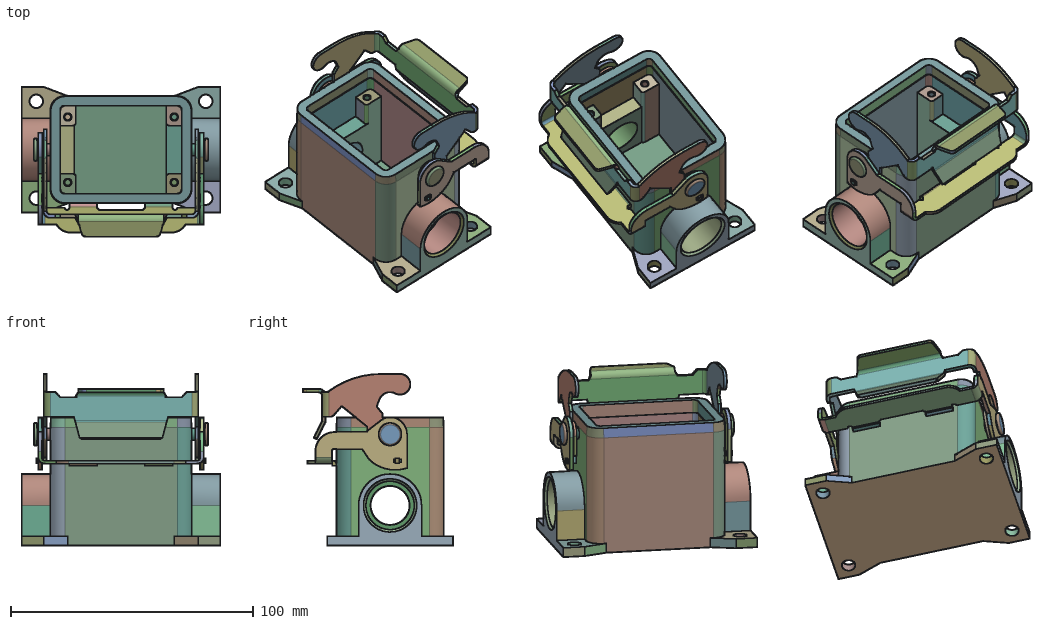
import cadquery as cq
import math

BASE_LENGTH = 82.0
BASE_WIDTH = 52.0
BASE_HEIGHT = 4.0
BASE_EAR_INNER_X = 32.0
BASE_EAR_ROOT_X = 22.0
MOUNT_HOLE_X = 35.0
MOUNT_HOLE_Y = 20.0
MOUNT_HOLE_DIAMETER = 5.5

BODY_LENGTH = 58.4
BODY_WIDTH = 44.4
BODY_TOP = 53.0
BODY_CORNER_RADIUS = 6.0
RIM_HEIGHT = 4.0
RIM_INSET = 0.2

CAVITY_LENGTH = 50.0
CAVITY_WIDTH = 36.2
CAVITY_FLOOR = 4.0
CAVITY_NECK_BOTTOM = 47.6
CAVITY_RELIEF = 0.2
CAVITY_CORNER_RADIUS = 1.8

LEFT_SHELF_INNER_X = -19.25
RIGHT_SHELF_INNER_X = 18.6
SHELF_TOP = 30.0
POST_INNER_X = 18.6
POST_INNER_Y = 10.0
POST_TOP = 41.0
POST_CORNER_RADIUS = 1.2
SCREW_X = 22.0
SCREW_Y = 13.5
SCREW_DIAMETER = 2.6
SCREW_MOUTH_DIAMETER = 3.2
SCREW_DEPTH = 10.0

ENTRY_AXIS_Z = 16.65
ENTRY_BOSS_RADIUS = 13.0
ENTRY_BORE_RADIUS = 10.0
ENTRY_CHAMFER = 1.0
ENTRY_HOLE_RADIUS = 8.0
ENTRY_SHOULDER_DEPTH = 1.0
ENTRY_SHOULDER_X = BODY_LENGTH / 2 - ENTRY_SHOULDER_DEPTH

PIN_Z = 46.05
PIN_RADIUS = 2.5
PIN_HEAD_RADIUS = 4.7
PIN_HEAD_OUTER_X = 36.0
PIN_HEAD_THICKNESS = 1.4

BRACKET_OUTER_X = 34.2
BRACKET_SIDE_THICKNESS = 1.6
BRACKET_EYE_RADIUS = 7.0
BRACKET_NECK_ANGLE = 65.0
BRACKET_TAIL_BOTTOM = 32.1
BRACKET_TAIL_FRONT_Y = -11.55
BRACKET_TAIL_KNEE = (-8.7, 35.7)
BRACKET_TAIL_BELLY = (-0.9, 31.6)
BRACKET_ARM_TOP = 47.0
BRACKET_ARM_BOTTOM = 39.95
BRACKET_ARM_START_Y = -10.0
BRACKET_ELBOW_RADIUS = 8.0
BRACKET_ELBOW_INNER_CHAMFER = 0.5
BRACKET_LEG_FRONT = -30.9
BRACKET_LEG_BACK = -23.9
BRACKET_FLANGE_BOTTOM = 33.85
BRACKET_FLANGE_THICKNESS = 1.3
BRACKET_FLANGE_FRONT = -34.2
BRACKET_BEND_INNER = 1.2
BRACKET_BEND_OUTER = BRACKET_BEND_INNER + BRACKET_SIDE_THICKNESS
BRACKET_LIP_ROOT_X = 26.65
BRACKET_LIP_SHOULDER = (24.3, -33.3)
BRACKET_LIP_TIP_X = 21.7
TAB_INNER_X = 9.85
TAB_OUTER_X = 21.35
TAB_BOTTOM = 33.0
RELIEF_X = 22.3
RELIEF_RADIUS = 0.95
RELIEF_FRONT = -24.85
WINDOW_CHAMFER = 0.9

STOP_Y = 3.0
STOP_Z = 35.1
STOP_LENGTH = 3.1
STOP_HEIGHT = 1.4
STOP_PROTRUSION = 0.5

LEVER_OUTER_X = 32.0
LEVER_SIDE_THICKNESS = 1.3
LEVER_TOP = 71.0
LEVER_HOOK_RADIUS = 4.3
LEVER_HOOK_Y = 4.1
LEVER_THROAT_RADIUS = 5.5
LEVER_CREST_Y = -3.6
LEVER_BRIDGE_FRONT = -28.15
LEVER_BRIDGE_THICKNESS = 1.5
LEVER_BRIDGE_TOP = 63.55
LEVER_BRIDGE_BOTTOM = 53.27
LEVER_BEND_OUTER = 2.75
LEVER_BEND_INNER = LEVER_BEND_OUTER - LEVER_SIDE_THICKNESS
LEVER_EYE_RADIUS = 5.0
LEVER_FOOT_RADIUS = 9.7
LEVER_FOOT_FRONT = -9.5
LEVER_NECK_Y = -3.05
LEVER_NECK_TOP = 54.5
LEVER_THROAT_LIP = (-5.5, 57.5)
LEVER_THROAT_FRONT = (-4.3, 60.6)
LEVER_THROAT_CROWN = (-1.9, 63.0)
LEVER_BACK_END_Y = -25.45
LEVER_BACK_STEP = 0.2
LEVER_NOTCH_HEEL = [(-24.2, LEVER_BRIDGE_BOTTOM), (-23.3, 53.8)]
LEVER_NOTCH_PEAK = [(-20.1, 57.5), (-19.8, 57.5)]
LEVER_FOOT_TOP = 49.2

TONGUE_LENGTH = 1.75
TONGUE_HEIGHT = 1.9
TONGUE_OUTER_X = 35.1
BRIDGE_NOTCH_FLOOR = 61.4
BRIDGE_NOTCH_TOP_X = 27.1
BRIDGE_NOTCH_FLOOR_X = 25.1

GRIP_FRONT = -35.98
GRIP_TOP = 64.8
GRIP_BEND_INNER = 1.3
GRIP_ROOT_X = 18.95
GRIP_BEND_X = 17.75
GRIP_TIP_X = 15.9
GRIP_CORNER_RADIUS = 2.0

APRON_BEND_Z = 51.45
APRON_BEND_BACK_DROP = 0.35
APRON_BEND_INNER = 1.5
APRON_TIP_FRONT = (-31.55, 44.6)
APRON_TIP_BACK = (-30.25, 43.95)
APRON_ROOT_X = 19.45
APRON_BEND_X = 18.95
APRON_TIP_X = 17.1
APRON_TIP_CORNER_X = 16.0


def mirrored_x(half):
    """Return the shape together with its mirror image in the YZ plane."""
    return half.union(half.mirror("YZ"))


def symmetric_points(half):
    """Complete an outline that is symmetric about X = 0 from the points of its +X half."""
    return half + [(-x, other) for x, other in reversed(half)]


def box_between(x0, x1, y0, y1, z0, z1):
    return cq.Workplane("XY").box(x1 - x0, y1 - y0, z1 - z0, centered=False).translate((x0, y0, z0))


def cylinder_x(radius, x0, x1, z):
    """Cylinder along X, centred on Y = 0."""
    return cq.Workplane("YZ", origin=(x0, 0, 0)).center(0, z).circle(radius).extrude(x1 - x0)


def rounded_block(length, width, radius, z0, z1):
    block = cq.Workplane("XY").workplane(offset=z0).rect(length, width).extrude(z1 - z0)
    return block.edges("|Z").fillet(radius)


def make_base():
    half_length = BASE_LENGTH / 2
    half_width = BASE_WIDTH / 2
    quarter = [
        (half_length, half_width),
        (BASE_EAR_INNER_X, half_width),
        (BASE_EAR_ROOT_X, BODY_WIDTH / 2),
    ]
    back = symmetric_points(quarter)
    front = [(x, -y) for x, y in reversed(back)]
    base = cq.Workplane("XY").polyline(back + front).close().extrude(BASE_HEIGHT)
    return (
        base.faces(">Z")
        .workplane(origin=(0, 0, 0))
        .rect(2 * MOUNT_HOLE_X, 2 * MOUNT_HOLE_Y, forConstruction=True)
        .vertices()
        .hole(MOUNT_HOLE_DIAMETER)
    )


def make_body():
    rim_base = BODY_TOP - RIM_HEIGHT
    body = rounded_block(BODY_LENGTH, BODY_WIDTH, BODY_CORNER_RADIUS, 0, rim_base)
    draft = math.degrees(math.atan2(RIM_INSET, RIM_HEIGHT))
    rim = body.faces(">Z").wires().toPending().workplane().extrude(RIM_HEIGHT, taper=draft, combine=False)
    return body.union(rim)


def make_entry_boss():
    end = BASE_LENGTH / 2
    boss = cylinder_x(ENTRY_BOSS_RADIUS, -end, end, ENTRY_AXIS_Z)
    legs = box_between(-end, end, -ENTRY_BOSS_RADIUS, ENTRY_BOSS_RADIUS, 0, ENTRY_AXIS_Z)
    return boss.union(legs)


def make_cavity():
    """Hollow of the housing, leaving the end shelves and the corner posts standing."""
    length = CAVITY_LENGTH + 2 * CAVITY_RELIEF
    width = CAVITY_WIDTH + 2 * CAVITY_RELIEF
    corner_radius = CAVITY_CORNER_RADIUS + CAVITY_RELIEF
    neck = rounded_block(CAVITY_LENGTH, CAVITY_WIDTH, CAVITY_CORNER_RADIUS, CAVITY_NECK_BOTTOM, BODY_TOP)
    cavity = rounded_block(length, width, corner_radius, CAVITY_FLOOR, CAVITY_NECK_BOTTOM).union(neck)
    wall_x = length / 2
    wall_y = width / 2
    left_shelf = box_between(-wall_x, LEFT_SHELF_INNER_X, -wall_y, wall_y, CAVITY_FLOOR, SHELF_TOP)
    right_shelf = box_between(RIGHT_SHELF_INNER_X, wall_x, -wall_y, wall_y, CAVITY_FLOOR, SHELF_TOP)
    post = box_between(POST_INNER_X, wall_x, POST_INNER_Y, wall_y, CAVITY_FLOOR, POST_TOP)
    post = post.edges("|Z and <X and <Y").fillet(POST_CORNER_RADIUS)
    posts = mirrored_x(post.union(post.mirror("XZ")))
    return cavity.cut(left_shelf).cut(right_shelf).cut(posts)


def make_entry_bores():
    end = BASE_LENGTH / 2
    bore = cylinder_x(ENTRY_BORE_RADIUS, ENTRY_SHOULDER_X, end, ENTRY_AXIS_Z)
    mouth = (
        cq.Workplane("YZ", origin=(end, 0, ENTRY_AXIS_Z))
        .circle(ENTRY_BORE_RADIUS + ENTRY_CHAMFER)
        .workplane(offset=-ENTRY_CHAMFER)
        .circle(ENTRY_BORE_RADIUS)
        .loft()
    )
    hole = cylinder_x(ENTRY_HOLE_RADIUS, -end, end, ENTRY_AXIS_Z)
    return mirrored_x(bore.union(mouth)).union(hole)


def make_screw_holes():
    chamfer = (SCREW_MOUTH_DIAMETER - SCREW_DIAMETER) / 2
    radius = SCREW_DIAMETER / 2
    hole = (
        cq.Workplane("XZ")
        .moveTo(0, 0)
        .lineTo(radius + chamfer, 0)
        .lineTo(radius, -chamfer)
        .lineTo(radius, -SCREW_DEPTH)
        .lineTo(0, -SCREW_DEPTH)
        .close()
        .revolve(360, (0, 0, 0), (0, 1, 0))
        .translate((SCREW_X, SCREW_Y, POST_TOP))
    )
    return mirrored_x(hole.union(hole.mirror("XZ")))


def make_housing():
    solid = make_base().union(make_body()).union(make_entry_boss())
    return solid.cut(make_cavity()).cut(make_entry_bores()).cut(make_screw_holes())


def make_pins():
    """Hinge pins with flat disc heads whose rims are fully rounded."""
    head_inner_x = PIN_HEAD_OUTER_X - PIN_HEAD_THICKNESS
    wall_x = (BODY_LENGTH + CAVITY_LENGTH) / 4
    shaft = cylinder_x(PIN_RADIUS, wall_x, PIN_HEAD_OUTER_X, PIN_Z)
    edge_radius = PIN_HEAD_THICKNESS / 2
    flat_radius = PIN_HEAD_RADIUS - edge_radius
    head = (
        cq.Workplane("XY", origin=(head_inner_x, 0, PIN_Z))
        .lineTo(0, flat_radius)
        .threePointArc((edge_radius, PIN_HEAD_RADIUS), (PIN_HEAD_THICKNESS, flat_radius))
        .lineTo(PIN_HEAD_THICKNESS, 0)
        .close()
        .revolve(360, (0, 0, 0), (1, 0, 0))
    )
    return mirrored_x(shaft.union(head))


def make_bracket_side():
    """Side plate with the pin eye, the forward arm and the leg down to the bend."""
    radius = BRACKET_EYE_RADIUS
    neck = math.radians(BRACKET_NECK_ANGLE)
    eye_end = (-radius * math.cos(neck), PIN_Z + radius * math.sin(neck))
    elbow_y = BRACKET_LEG_FRONT + BRACKET_ELBOW_RADIUS
    elbow_z = BRACKET_ARM_TOP - BRACKET_ELBOW_RADIUS
    elbow_diagonal = BRACKET_ELBOW_RADIUS * math.sqrt(0.5)
    leg_bottom = BRACKET_FLANGE_BOTTOM + BRACKET_BEND_OUTER
    plate = (
        cq.Workplane("YZ", origin=(BRACKET_OUTER_X - BRACKET_SIDE_THICKNESS, 0, 0))
        .moveTo(radius, BRACKET_TAIL_BOTTOM)
        .lineTo(radius, PIN_Z)
        .threePointArc((0, PIN_Z + radius), eye_end)
        .lineTo(BRACKET_ARM_START_Y, BRACKET_ARM_TOP)
        .lineTo(elbow_y, BRACKET_ARM_TOP)
        .threePointArc((elbow_y - elbow_diagonal, elbow_z + elbow_diagonal), (BRACKET_LEG_FRONT, elbow_z))
        .lineTo(BRACKET_LEG_FRONT, leg_bottom)
        .lineTo(BRACKET_LEG_BACK, leg_bottom)
        .lineTo(BRACKET_LEG_BACK, BRACKET_ARM_BOTTOM - BRACKET_ELBOW_INNER_CHAMFER)
        .lineTo(BRACKET_LEG_BACK + BRACKET_ELBOW_INNER_CHAMFER, BRACKET_ARM_BOTTOM)
        .lineTo(BRACKET_TAIL_FRONT_Y, BRACKET_ARM_BOTTOM)
        .lineTo(*BRACKET_TAIL_KNEE)
        .threePointArc(BRACKET_TAIL_BELLY, (radius, BRACKET_TAIL_BOTTOM))
        .close()
        .extrude(BRACKET_SIDE_THICKNESS)
    )
    stop = box_between(
        BRACKET_OUTER_X, BRACKET_OUTER_X + STOP_PROTRUSION,
        STOP_Y - STOP_LENGTH / 2, STOP_Y + STOP_LENGTH / 2,
        STOP_Z - STOP_HEIGHT / 2, STOP_Z + STOP_HEIGHT / 2,
    )
    return plate.union(stop)


def make_bracket_flange():
    """Cross strap with its bent-up ends, front lip, rear reliefs and wall tabs."""
    top = BRACKET_FLANGE_BOTTOM + BRACKET_FLANGE_THICKNESS
    leg_top = BRACKET_ARM_TOP - BRACKET_ELBOW_RADIUS
    inner_x = BRACKET_OUTER_X - BRACKET_SIDE_THICKNESS
    channel = box_between(
        -BRACKET_OUTER_X, BRACKET_OUTER_X,
        BRACKET_LEG_FRONT, BRACKET_LEG_BACK,
        BRACKET_FLANGE_BOTTOM, leg_top,
    )
    channel = channel.edges("|Y and <Z").fillet(BRACKET_BEND_OUTER)
    hollow = box_between(-inner_x, inner_x, BRACKET_LEG_FRONT, BRACKET_LEG_BACK, top, leg_top)
    hollow = hollow.edges("|Y and <Z").fillet(BRACKET_BEND_INNER)
    strap = channel.cut(hollow)

    shoulder_x, shoulder_y = BRACKET_LIP_SHOULDER
    lip = (
        cq.Workplane("XY", origin=(0, 0, BRACKET_FLANGE_BOTTOM))
        .moveTo(-BRACKET_LIP_ROOT_X, BRACKET_LEG_FRONT)
        .threePointArc((-shoulder_x, shoulder_y), (-BRACKET_LIP_TIP_X, BRACKET_FLANGE_FRONT))
        .lineTo(BRACKET_LIP_TIP_X, BRACKET_FLANGE_FRONT)
        .threePointArc((shoulder_x, shoulder_y), (BRACKET_LIP_ROOT_X, BRACKET_LEG_FRONT))
        .close()
        .extrude(BRACKET_FLANGE_THICKNESS)
    )

    wall_y = -BODY_WIDTH / 2
    tab = box_between(TAB_INNER_X, TAB_OUTER_X, BRACKET_LEG_BACK, wall_y, TAB_BOTTOM, top)
    tab = tab.edges("|X and >Y and >Z").fillet(BRACKET_FLANGE_THICKNESS)

    relief_y = RELIEF_FRONT + RELIEF_RADIUS
    relief = cq.Workplane("XY").center(RELIEF_X, relief_y).circle(RELIEF_RADIUS).extrude(BODY_TOP)
    window = box_between(-TAB_INNER_X, TAB_INNER_X, RELIEF_FRONT, wall_y, 0, BODY_TOP)
    window = window.edges("|Z and <Y").chamfer(WINDOW_CHAMFER)
    return strap.union(lip).cut(mirrored_x(relief)).cut(window).union(mirrored_x(tab))


def lever_profile():
    """Side outline of the lever, extruded across its full width."""
    hook_z = LEVER_TOP - LEVER_HOOK_RADIUS
    centre_gap = LEVER_HOOK_RADIUS + LEVER_THROAT_RADIUS
    centre_dz = math.sqrt(centre_gap**2 - LEVER_HOOK_Y**2)
    hook_share = LEVER_HOOK_RADIUS / centre_gap
    touch_y = LEVER_HOOK_Y * (1 - hook_share)
    touch_z = hook_z - centre_dz * hook_share

    eye_z = PIN_Z + math.sqrt(LEVER_EYE_RADIUS**2 - LEVER_NECK_Y**2)
    foot_rear_z = PIN_Z - math.sqrt(LEVER_FOOT_RADIUS**2 - LEVER_EYE_RADIUS**2)
    foot_front_z = PIN_Z - math.sqrt(LEVER_FOOT_RADIUS**2 - LEVER_FOOT_FRONT**2)
    return (
        cq.Workplane("YZ", origin=(-LEVER_OUTER_X, 0, 0))
        .moveTo(LEVER_HOOK_Y, LEVER_TOP)
        .lineTo(LEVER_CREST_Y, LEVER_TOP)
        .tangentArcPoint((LEVER_BACK_END_Y, LEVER_BRIDGE_TOP + LEVER_BACK_STEP), relative=False)
        .lineTo(LEVER_BACK_END_Y, LEVER_BRIDGE_TOP)
        .lineTo(LEVER_BRIDGE_FRONT, LEVER_BRIDGE_TOP)
        .lineTo(LEVER_BRIDGE_FRONT, LEVER_BRIDGE_BOTTOM)
        .lineTo(*LEVER_NOTCH_HEEL[0])
        .lineTo(*LEVER_NOTCH_HEEL[1])
        .lineTo(*LEVER_NOTCH_PEAK[0])
        .lineTo(*LEVER_NOTCH_PEAK[1])
        .lineTo(LEVER_FOOT_FRONT, LEVER_FOOT_TOP)
        .lineTo(LEVER_FOOT_FRONT, foot_front_z)
        .threePointArc((0, PIN_Z - LEVER_FOOT_RADIUS), (LEVER_EYE_RADIUS, foot_rear_z))
        .lineTo(LEVER_EYE_RADIUS, PIN_Z)
        .threePointArc((0, PIN_Z + LEVER_EYE_RADIUS), (LEVER_NECK_Y, eye_z))
        .lineTo(LEVER_NECK_Y, LEVER_NECK_TOP)
        .lineTo(*LEVER_THROAT_LIP)
        .lineTo(*LEVER_THROAT_FRONT)
        .threePointArc(LEVER_THROAT_CROWN, (touch_y, touch_z))
        .threePointArc((LEVER_HOOK_Y + LEVER_HOOK_RADIUS, hook_z), (LEVER_HOOK_Y, LEVER_TOP))
        .close()
        .extrude(2 * LEVER_OUTER_X)
    )


def make_lever_frame():
    """Two side arms joined by the front bridge, bent from one strip."""
    rear = LEVER_HOOK_Y + 2 * LEVER_HOOK_RADIUS
    inner_x = LEVER_OUTER_X - LEVER_SIDE_THICKNESS
    inner_front = LEVER_BRIDGE_FRONT + LEVER_BRIDGE_THICKNESS
    strip = box_between(-LEVER_OUTER_X, LEVER_OUTER_X, LEVER_BRIDGE_FRONT, rear, 0, LEVER_TOP)
    strip = strip.edges("|Z and <Y").fillet(LEVER_BEND_OUTER)
    hollow = box_between(-inner_x, inner_x, inner_front, rear, 0, LEVER_TOP)
    hollow = hollow.edges("|Z and <Y").fillet(LEVER_BEND_INNER)
    notch_half = [(BRIDGE_NOTCH_TOP_X, LEVER_BRIDGE_TOP), (BRIDGE_NOTCH_FLOOR_X, BRIDGE_NOTCH_FLOOR)]
    notch = (
        cq.Workplane("XZ", origin=(0, inner_front, 0))
        .polyline(symmetric_points(notch_half))
        .close()
        .extrude(LEVER_BRIDGE_THICKNESS)
    )
    return strip.cut(hollow).intersect(lever_profile()).cut(notch)


def make_lever_grip():
    """Thumb grip: a tab bent forward from the upper edge of the bridge."""
    thickness = LEVER_BRIDGE_THICKNESS
    back = LEVER_BRIDGE_FRONT + thickness
    root = LEVER_BRIDGE_BOTTOM
    section = (
        cq.Workplane("YZ", origin=(-GRIP_ROOT_X, 0, 0))
        .moveTo(LEVER_BRIDGE_FRONT, root)
        .lineTo(back, root)
        .lineTo(back, GRIP_TOP)
        .lineTo(GRIP_FRONT, GRIP_TOP)
        .lineTo(GRIP_FRONT, GRIP_TOP - thickness)
        .lineTo(LEVER_BRIDGE_FRONT, GRIP_TOP - thickness)
        .close()
        .extrude(2 * GRIP_ROOT_X)
    )
    section = section.edges("|X and >Y and >Z").fillet(GRIP_BEND_INNER + thickness)
    inner_bend = cq.selectors.NearestToPointSelector((0, LEVER_BRIDGE_FRONT, GRIP_TOP - thickness))
    section = section.edges("|X").edges(inner_bend).fillet(GRIP_BEND_INNER)
    bend_end = LEVER_BRIDGE_FRONT - GRIP_BEND_INNER
    half = [(GRIP_ROOT_X, back), (GRIP_BEND_X, bend_end), (GRIP_TIP_X, GRIP_FRONT)]
    outline = (
        cq.Workplane("XY")
        .polyline(symmetric_points(half))
        .close()
        .extrude(LEVER_TOP)
        .edges("|Z and <Y")
        .fillet(GRIP_CORNER_RADIUS)
    )
    front_half = [
        (GRIP_ROOT_X, LEVER_BRIDGE_BOTTOM),
        (GRIP_ROOT_X, BRIDGE_NOTCH_FLOOR),
        (GRIP_BEND_X, GRIP_TOP - LEVER_BRIDGE_THICKNESS),
        (GRIP_BEND_X, GRIP_TOP),
    ]
    front_outline = (
        cq.Workplane("XZ")
        .polyline(symmetric_points(front_half))
        .close()
        .extrude(-GRIP_FRONT)
    )
    return section.intersect(outline).intersect(front_outline)


def make_lever_apron():
    """Sloping apron bent forward from the lower edge of the bridge."""
    front = LEVER_BRIDGE_FRONT
    back = front + LEVER_BRIDGE_THICKNESS
    back_bend_z = APRON_BEND_Z - APRON_BEND_BACK_DROP
    section = (
        cq.Workplane("YZ", origin=(-APRON_ROOT_X, 0, 0))
        .polyline([(front, LEVER_BRIDGE_BOTTOM), (front, APRON_BEND_Z), APRON_TIP_FRONT,
                   APRON_TIP_BACK, (back, back_bend_z), (back, LEVER_BRIDGE_BOTTOM)])
        .close()
        .extrude(2 * APRON_ROOT_X)
    )
    front_bend = cq.selectors.NearestToPointSelector((0, front, APRON_BEND_Z))
    section = section.edges("|X").edges(front_bend).fillet(APRON_BEND_INNER)
    half = [
        (APRON_ROOT_X, LEVER_BRIDGE_BOTTOM),
        (APRON_BEND_X, APRON_BEND_Z),
        (APRON_TIP_X, APRON_TIP_FRONT[1]),
        (APRON_TIP_CORNER_X, APRON_TIP_BACK[1]),
    ]
    outline = (
        cq.Workplane("XZ")
        .polyline(symmetric_points(half))
        .close()
        .extrude(-GRIP_FRONT)
    )
    return section.intersect(outline)


def make_lever_tongues():
    """Tongues at the foot of each arm, turned outwards through the bracket."""
    inner_x = LEVER_OUTER_X - LEVER_SIDE_THICKNESS
    y0 = STOP_Y - TONGUE_LENGTH / 2
    y1 = STOP_Y + TONGUE_LENGTH / 2
    z0 = STOP_Z - TONGUE_HEIGHT / 2
    z1 = STOP_Z + TONGUE_HEIGHT / 2
    stem = box_between(inner_x, LEVER_OUTER_X, y0, y1, z0, PIN_Z)
    pad = box_between(inner_x, TONGUE_OUTER_X, y0, y1, z0, z1)
    return mirrored_x(stem.union(pad))


bracket = mirrored_x(make_bracket_side()).union(make_bracket_flange())
lever = make_lever_frame().union(make_lever_grip()).union(make_lever_apron()).union(make_lever_tongues())
result = make_housing().union(make_pins()).union(bracket).union(lever)